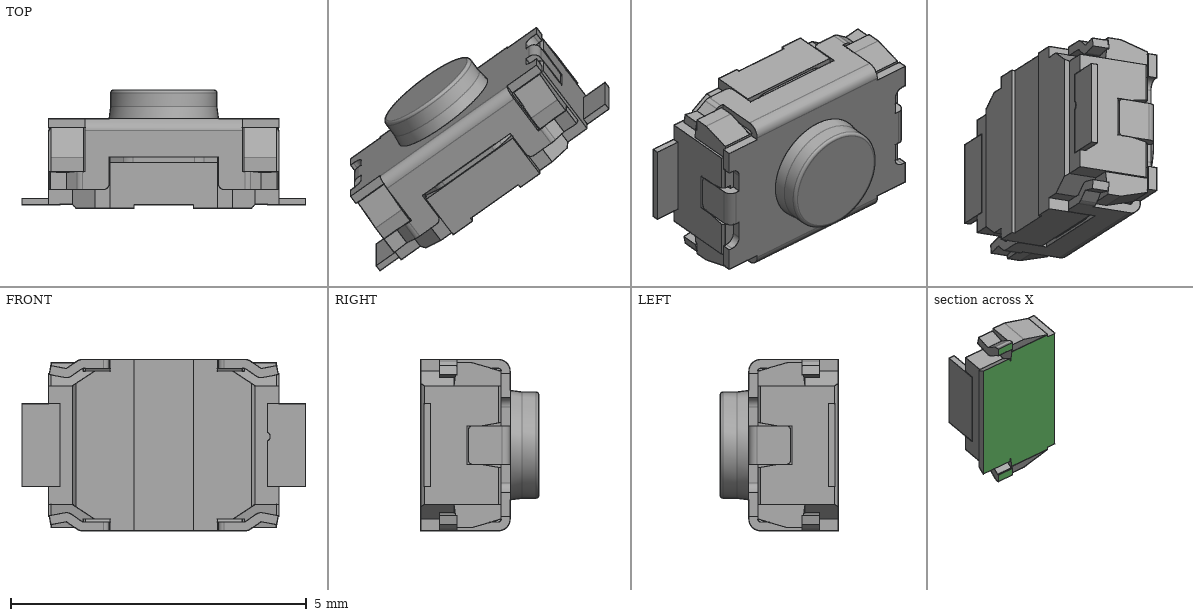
import cadquery as cq
import math

OVERALL_LENGTH = 4.8
OVERALL_WIDTH = 2.9

OVERALL_HEIGHT = 2.0
COVER_TOP = 1.515
SHEET = 0.155
HOUSING_TOP = COVER_TOP - SHEET
SHELF_HEIGHT = 0.065
GROOVE_DEPTH = 0.06

HOUSING_HALF_X = 1.95
HOUSING_TOP_CHAMFER = 0.05
END_HALF_Z = 1.005
CORE_HALF_Z = 1.255
FOOT_HALF_X = 1.545
FOOT_SLANT_X = 1.165
FOOT_STEP_X = 0.06
GROOVE_HALF_X = 0.5

SHOULDER_INNER_X = 1.36
SHOULDER_OUTER_X = 1.905
SHOULDER_HALF_Z = 1.395
SHOULDER_SLOPE_START = 0.86
SHOULDER_BOTTOM_INNER = 0.565
SHOULDER_BOTTOM_OUTER = 0.62

BOSS_HALF_X = 0.905
BOSS_HEIGHT = 0.775

BULGE_HALF_Z = 1.4
BULGE_FLAT_X = 0.52
BULGE_TANGENT_X = 0.675
BULGE_SLOPE = math.radians(35)

EAR_HALF_Z = 1.21
LEG_HALF_X = 1.33
LEG_OUTER_Z = OVERALL_WIDTH / 2
LEG_BOTTOM = 0.315
BEND_RADIUS = 0.2
WINDOW_HALF_X = 0.92
WINDOW_TOP = 0.865
FOOT_FILLET = 0.1
ARM_DIP_ANGLE = math.radians(35)
ARM_DIP_LENGTH = 0.22
ARM_DIP_X = 1.38
ARM_OUT_ANGLE = math.radians(10.5)
ARM_OUT_LENGTH = 0.27
ARM_TOP = SHOULDER_BOTTOM_OUTER
RELIEF_HALF_Z = 0.8
RELIEF_DEPTH = 0.22
RELIEF_CORNER_RADIUS = 0.16
TAB_HALF_Z = 0.325
TAB_BOTTOM = 0.81
TAB_CORNER_RADIUS = 0.065
TAB_SETBACK = 0.01
POCKET_BOTTOM = 0.78
POCKET_FLARE_START = 1.03
POCKET_MOUTH_HALF_Z = 0.385

TERMINAL_END_X = OVERALL_LENGTH / 2
TERMINAL_INNER_X = 1.755
TERMINAL_HALF_Z = 0.7
TERMINAL_BOTTOM = 0.06
TERMINAL_TOP = 0.17
NOTCH_RADIUS = 0.08
NOTCH_SETBACK = 0.04
NOTCH_Z = 0.145

BUTTON_DIAMETER = 1.8
BUTTON_BASE_RADIUS = 0.925
BUTTON_TAPER_TOP = 1.72
BUTTON_EDGE_RADIUS = 0.055


def block(x0, x1, y0, y1, z0, z1):
    """Axis-aligned box between two corners."""
    return cq.Workplane("XY").box(x1 - x0, y1 - y0, z1 - z0, centered=False).translate((x0, y0, z0))


def centred_block(half_x, y0, y1, half_z):
    """Box symmetric about X = 0 and Z = 0."""
    return block(-half_x, half_x, y0, y1, -half_z, half_z)


def plan_prism(points, y0, y1):
    """Prism along Y over an outline of (x, z) points."""
    return cq.Workplane("XZ", origin=(0, y0, 0)).polyline(points).close().extrude(y0 - y1)


def profile_prism(points, x0, x1):
    """Prism along X over an outline of (y, z) points."""
    return cq.Workplane("YZ", origin=(x0, 0, 0)).polyline(points).close().extrude(x1 - x0)


def both_ends(shape):
    return shape.union(shape.mirror("YZ"))


def both_sides(shape):
    return shape.union(shape.mirror("XY"))


def four_corners(shape):
    return both_sides(both_ends(shape))


def make_foot():
    """Lower housing with slanted corners and a sloped step at each end of the pad."""
    outline = [
        (0, 0),
        (HOUSING_HALF_X, 0),
        (HOUSING_HALF_X, END_HALF_Z),
        (FOOT_HALF_X, END_HALF_Z),
        (FOOT_SLANT_X, CORE_HALF_Z),
        (0, CORE_HALF_Z),
    ]
    foot = four_corners(plan_prism(outline, 0, SHOULDER_BOTTOM_INNER))
    pad_x = FOOT_HALF_X - FOOT_STEP_X
    step_profile = [
        (pad_x, 0),
        (HOUSING_HALF_X, 0),
        (HOUSING_HALF_X, SHELF_HEIGHT),
        (FOOT_HALF_X, SHELF_HEIGHT),
    ]
    step = (
        cq.Workplane("XY", origin=(0, 0, -CORE_HALF_Z))
        .polyline(step_profile)
        .close()
        .extrude(2 * CORE_HALF_Z)
    )
    return foot.cut(both_ends(step))


def make_upper_housing():
    """End block with chamfered top edges, side core and sloped corner shoulders."""
    ends = centred_block(HOUSING_HALF_X, SHELF_HEIGHT, HOUSING_TOP, END_HALF_Z)
    ends = ends.faces(">Y").edges("|Z").chamfer(HOUSING_TOP_CHAMFER)
    underside_slope = (SHOULDER_BOTTOM_OUTER - SHOULDER_BOTTOM_INNER) / (SHOULDER_HALF_Z - END_HALF_Z)
    core_bottom = SHOULDER_BOTTOM_INNER + underside_slope * (CORE_HALF_Z - END_HALF_Z)
    core = profile_prism(
        [
            (HOUSING_TOP, 0),
            (HOUSING_TOP, CORE_HALF_Z),
            (core_bottom, CORE_HALF_Z),
            (SHOULDER_BOTTOM_INNER, END_HALF_Z),
            (SHOULDER_BOTTOM_INNER, 0),
        ],
        -SHOULDER_INNER_X,
        SHOULDER_INNER_X,
    )
    shoulder = profile_prism(
        [
            (HOUSING_TOP, 0),
            (HOUSING_TOP, CORE_HALF_Z),
            (SHOULDER_SLOPE_START, SHOULDER_HALF_Z),
            (SHOULDER_BOTTOM_OUTER, SHOULDER_HALF_Z),
            (SHOULDER_BOTTOM_INNER, END_HALF_Z),
            (SHOULDER_BOTTOM_INNER, 0),
        ],
        SHOULDER_INNER_X,
        SHOULDER_OUTER_X,
    )
    return ends.union(both_sides(core)).union(four_corners(shoulder))


def add_bulge(housing):
    """Step above each boss: flat crest rounded into slopes that sink into the side of the core."""
    radius = (BULGE_TANGENT_X - BULGE_FLAT_X) / math.sin(BULGE_SLOPE)

    def arc_point(angle):
        return (
            BULGE_FLAT_X + radius * math.sin(angle),
            BULGE_HALF_Z - radius * (1 - math.cos(angle)),
        )

    tangent = arc_point(BULGE_SLOPE)
    end_z = tangent[1] - (BOSS_HALF_X - tangent[0]) * math.tan(BULGE_SLOPE)
    half_bulge = (
        cq.Workplane("XZ", origin=(0, BOSS_HEIGHT, 0))
        .moveTo(0, end_z)
        .lineTo(0, BULGE_HALF_Z)
        .lineTo(BULGE_FLAT_X, BULGE_HALF_Z)
        .threePointArc(arc_point(BULGE_SLOPE / 2), tangent)
        .lineTo(BOSS_HALF_X, end_z)
        .close()
        .extrude(BOSS_HEIGHT - WINDOW_TOP)
    )
    recess = block(-BOSS_HALF_X, BOSS_HALF_X, BOSS_HEIGHT, WINDOW_TOP, end_z, CORE_HALF_Z)
    return housing.cut(both_sides(recess)).union(four_corners(half_bulge))


def make_tab_pocket():
    """Pocket in an end face for the cover tab, flared towards the top."""
    half = [
        (POCKET_BOTTOM, 0),
        (POCKET_BOTTOM, TAB_HALF_Z),
        (POCKET_FLARE_START, TAB_HALF_Z),
        (HOUSING_TOP, POCKET_MOUTH_HALF_Z),
        (HOUSING_TOP, 0),
    ]
    return both_sides(profile_prism(half, HOUSING_HALF_X - SHEET, HOUSING_HALF_X))


def make_housing():
    housing = make_foot().union(make_upper_housing())
    housing = housing.cut(both_ends(make_tab_pocket()))
    housing = add_bulge(housing)
    housing = housing.union(centred_block(BOSS_HALF_X, 0, BOSS_HEIGHT, LEG_OUTER_Z))
    return housing.cut(centred_block(GROOVE_HALF_X, 0, GROOVE_DEPTH, LEG_OUTER_Z))


def make_legs():
    """Channel bent from sheet, with a window and rounded feet in both legs."""
    inner_radius = BEND_RADIUS - SHEET
    channel = centred_block(LEG_HALF_X, LEG_BOTTOM, COVER_TOP, LEG_OUTER_Z)
    channel = channel.faces(">Y").edges("|X").fillet(BEND_RADIUS)
    inside = centred_block(LEG_HALF_X, LEG_BOTTOM, HOUSING_TOP, LEG_OUTER_Z - SHEET)
    inside = inside.faces(">Y").edges("|X").fillet(inner_radius)
    window = centred_block(WINDOW_HALF_X, LEG_BOTTOM, WINDOW_TOP, LEG_OUTER_Z)
    legs = channel.cut(inside).cut(window)
    margin = FOOT_FILLET
    foot_corner = cq.selectors.BoxSelector(
        (-WINDOW_HALF_X - margin, LEG_BOTTOM - margin, -LEG_OUTER_Z - margin),
        (WINDOW_HALF_X + margin, LEG_BOTTOM + margin, LEG_OUTER_Z + margin),
    )
    return legs.edges("|Z").edges(foot_corner).fillet(FOOT_FILLET)


def make_arm():
    """Retaining arm at a leg foot, bent inwards and then out to the end face."""

    def step(point, length, angle):
        return (point[0] + length * math.cos(angle), point[1] + length * math.sin(angle))

    across = math.pi / 2
    dip_across = across - ARM_DIP_ANGLE
    out_across = across + ARM_OUT_ANGLE
    dip_pivot = (ARM_DIP_X, LEG_OUTER_Z - SHEET)
    dip_start = step(dip_pivot, SHEET, dip_across)
    out_pivot = step(dip_start, ARM_DIP_LENGTH, -ARM_DIP_ANGLE)
    tip_outer = step(out_pivot, ARM_OUT_LENGTH, ARM_OUT_ANGLE)
    middle_across = (dip_across + out_across) / 2
    return (
        cq.Workplane("XZ", origin=(0, LEG_BOTTOM, 0))
        .moveTo(LEG_HALF_X, LEG_OUTER_Z)
        .lineTo(ARM_DIP_X, LEG_OUTER_Z)
        .threePointArc(step(dip_pivot, SHEET, across - ARM_DIP_ANGLE / 2), dip_start)
        .lineTo(*out_pivot)
        .lineTo(*tip_outer)
        .lineTo(*step(tip_outer, -SHEET, out_across))
        .lineTo(*step(out_pivot, -SHEET, out_across))
        .threePointArc(step(out_pivot, -SHEET, middle_across), step(out_pivot, -SHEET, dip_across))
        .lineTo(*dip_pivot)
        .lineTo(LEG_HALF_X, LEG_OUTER_Z - SHEET)
        .close()
        .extrude(LEG_BOTTOM - ARM_TOP)
    )


def make_tab():
    """Tab bent down over an end face."""
    outer_x = HOUSING_HALF_X - TAB_SETBACK
    tab = block(HOUSING_HALF_X - RELIEF_DEPTH, outer_x, TAB_BOTTOM, COVER_TOP, -TAB_HALF_Z, TAB_HALF_Z)
    tab = tab.faces("<Y").edges("|X").fillet(TAB_CORNER_RADIUS)
    bend_radius = SHEET - TAB_SETBACK
    return tab.faces(">X").edges(">Y").fillet(bend_radius)


def make_cover():
    plate = centred_block(HOUSING_HALF_X, HOUSING_TOP, COVER_TOP, EAR_HALF_Z)
    relief = block(HOUSING_HALF_X - RELIEF_DEPTH, HOUSING_HALF_X,
                   HOUSING_TOP, COVER_TOP, -RELIEF_HALF_Z, RELIEF_HALF_Z)
    relief = relief.faces("<X").edges("|Y").fillet(RELIEF_CORNER_RADIUS)
    cover = plate.cut(both_ends(relief)).union(make_legs())
    return cover.union(both_ends(make_tab())).union(four_corners(make_arm()))


def make_terminals():
    """Solder terminals at both ends; the +X one has a rounded notch in its inner edge."""
    terminal = block(TERMINAL_INNER_X, TERMINAL_END_X, TERMINAL_BOTTOM, TERMINAL_TOP,
                     -TERMINAL_HALF_Z, TERMINAL_HALF_Z)
    notch = (
        cq.Workplane("XZ", origin=(TERMINAL_INNER_X - NOTCH_SETBACK, TERMINAL_BOTTOM, NOTCH_Z))
        .circle(NOTCH_RADIUS)
        .extrude(TERMINAL_BOTTOM - SHELF_HEIGHT)
    )
    return terminal.mirror("YZ").union(terminal.cut(notch))


def make_button():
    """Round push button with a tapered base and a rounded top edge."""
    radius = BUTTON_DIAMETER / 2
    edge = BUTTON_EDGE_RADIUS
    corner_offset = edge * math.sqrt(0.5)
    return (
        cq.Workplane("XY")
        .moveTo(0, HOUSING_TOP)
        .lineTo(BUTTON_BASE_RADIUS, HOUSING_TOP)
        .lineTo(BUTTON_BASE_RADIUS, COVER_TOP)
        .lineTo(radius, BUTTON_TAPER_TOP)
        .lineTo(radius, OVERALL_HEIGHT - edge)
        .threePointArc(
            (radius - edge + corner_offset, OVERALL_HEIGHT - edge + corner_offset),
            (radius - edge, OVERALL_HEIGHT),
        )
        .lineTo(0, OVERALL_HEIGHT)
        .close()
        .revolve(360, (0, 0, 0), (0, 1, 0))
    )


result = make_housing().union(make_terminals()).union(make_cover()).union(make_button())